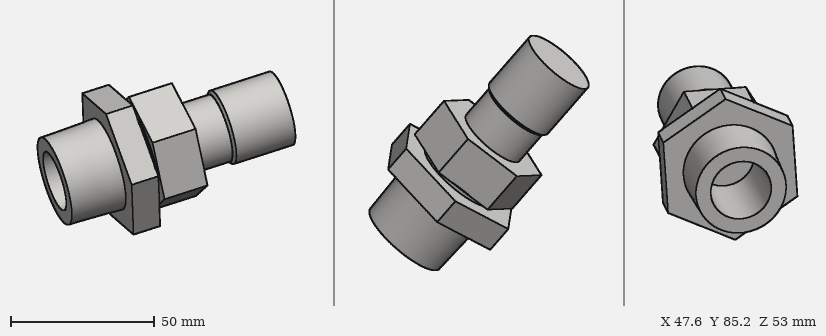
import cadquery as cq
import math

thread_tip_diameter = 32.0
thread_root_diameter = 33.4
thread_length = 20.0
bore_diameter = 21.5
body_hex_across_flats = 46.0
body_hex_width = 10.05
body_hex_tilt = 3.7
neck_diameter = 31.0
neck_length = 1.9

collar_diameter = 33.4
collar_thickness = 0.5
nut_hex_across_flats = 38.0
nut_hex_width = 16.2
nut_hex_tilt = 30.5

shank_diameter = 24.6
end_diameter = 27.0
end_length = 22.2
chamfer_length = 1.0
chamfer_tip_diameter = end_diameter - 2 * chamfer_length
overall_length = 85.2

body_hex_end = thread_length + body_hex_width
neck_end = body_hex_end + neck_length
collar_end = neck_end + collar_thickness
nut_end = collar_end + nut_hex_width
end_start = overall_length - end_length


def cylinder(diameter, start, end):
    """Solid cylinder on the Y axis between two stations."""
    return cq.Workplane("XZ", origin=(0, start, 0)).circle(diameter / 2).extrude(start - end)


def cone(start_diameter, end_diameter, start, end):
    """Solid truncated cone on the Y axis between two stations."""
    outline = [(0, start), (start_diameter / 2, start), (end_diameter / 2, end), (0, end)]
    return cq.Workplane("XY").polyline(outline).close().revolve(360, (0, 0), (0, 1))


def hexagon(across_flats, tilt, start, end):
    """Hexagonal prism on the Y axis; tilt turns one corner from +Z towards -X, in degrees."""
    corner_diameter = across_flats / math.cos(math.radians(30))
    prism = cq.Workplane("XZ", origin=(0, start, 0)).polygon(6, corner_diameter).extrude(start - end)
    return prism.rotate((0, 0, 0), (0, 1, 0), -(90 + tilt))


def make_male_body():
    thread = cone(thread_tip_diameter, thread_root_diameter, 0, thread_length)
    hex_flange = hexagon(body_hex_across_flats, body_hex_tilt, thread_length, body_hex_end)
    neck = cylinder(neck_diameter, body_hex_end, neck_end)
    bore = cylinder(bore_diameter, 0, neck_end)
    return thread.union(hex_flange).union(neck).cut(bore)


def make_nut():
    collar = cylinder(collar_diameter, neck_end, collar_end)
    hex_block = hexagon(nut_hex_across_flats, nut_hex_tilt, collar_end, nut_end)
    shank_hole = cylinder(shank_diameter, neck_end, nut_end)
    return collar.union(hex_block).cut(shank_hole)


def make_tail():
    """The shank butts against the neck and closes the bore of the male body."""
    shank = cylinder(shank_diameter, neck_end, end_start)
    step = cone(chamfer_tip_diameter, end_diameter, end_start - chamfer_length, end_start)
    plain_end = cylinder(end_diameter, end_start, overall_length)
    return shank.union(step).union(plain_end)


male_body = make_male_body()
nut = make_nut()
tail = make_tail()

result = cq.Compound.makeCompound([male_body.val(), nut.val(), tail.val()])